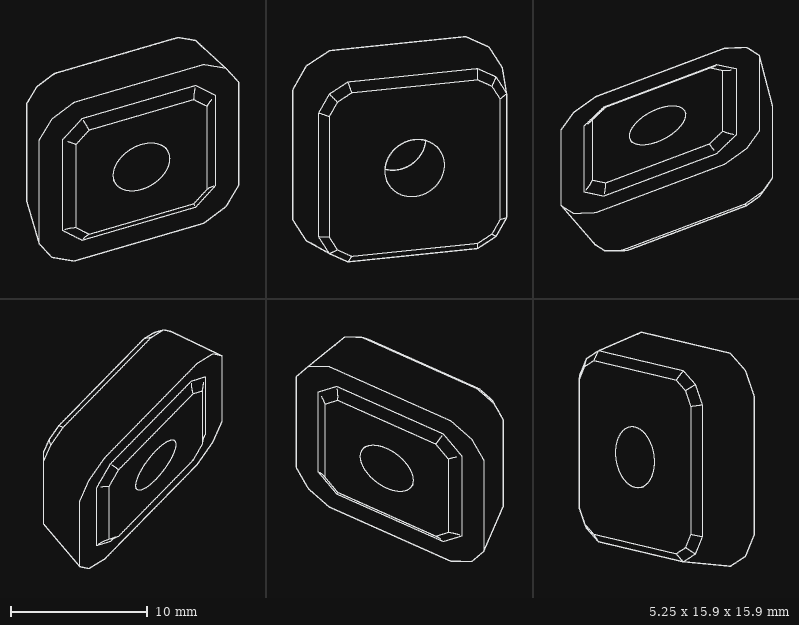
import cadquery as cq
import math

total_thickness = 5.25
rake_x = 4.78
chamfer_x = 0.55

cutting_half = 7.94
waist_half = 7.11
back_half = 6.46

cutting_flat = 5.15
waist_flat = 4.9
back_flat = 4.76
facet_angle = 30.0
edge_radius = 0.32

hole_diameter = 4.5

platform_foot_half = 6.08
platform_top_half = 5.21
platform_flat = 4.51
platform_flank_radius = 2.38
platform_sides = 8


def corner_point(half, flat):
    """Coordinate of the corner vertex on the diagonal of the square."""
    slope = math.tan(math.radians(facet_angle))
    return (half + slope * flat) / (1 + slope)


def four_quarters(quarter):
    """Repeat (Y, Z) points at every quarter turn about the X axis."""
    points = []
    for _ in range(4):
        points += quarter
        quarter = [(-z, y) for y, z in quarter]
    return points


def insert_outline(half, flat):
    """Square with two facets at each corner, as (Y, Z) points."""
    corner = corner_point(half, flat)
    return four_quarters([(half, flat), (corner, corner), (flat, half)])


def extrapolate(start, end, x_start, x_end, x):
    """Value at x on the straight line from (x_start, start) to (x_end, end)."""
    return start + (end - start) * (x - x_start) / (x_end - x_start)


def loft_outlines(x_start, start, x_end, end):
    """Ruled solid between two (half, flat) insert outlines."""
    return (
        cq.Workplane("YZ", origin=(x_start, 0, 0))
        .polyline(insert_outline(*start)).close()
        .workplane(offset=x_end - x_start)
        .polyline(insert_outline(*end)).close()
        .loft(ruled=True, combine=True)
    )


def tapered_body():
    """Relieved flanks with rounded edges, cut back by a sharp chamfer."""
    back = (
        extrapolate(waist_half, cutting_half, chamfer_x, rake_x, 0),
        extrapolate(waist_flat, cutting_flat, chamfer_x, rake_x, 0),
    )
    flanks = loft_outlines(0, back, rake_x, (cutting_half, cutting_flat))
    flanks = flanks.edges("not(#X)").fillet(edge_radius)

    chamfer_end = (
        extrapolate(back_half, waist_half, 0, chamfer_x, rake_x),
        extrapolate(back_flat, waist_flat, 0, chamfer_x, rake_x),
    )
    chamfer = loft_outlines(0, (back_half, back_flat), rake_x, chamfer_end)
    return flanks.intersect(chamfer)


def platform():
    """Eight-sided platform whose flanks are hollow arcs."""
    points = four_quarters([(platform_foot_half, platform_flat), (platform_flat, platform_foot_half)])
    solid = (
        cq.Workplane("YZ", origin=(chamfer_x, 0, 0))
        .polyline(points).close()
        .extrude(total_thickness - chamfer_x)
    )

    diagonal_half = (platform_foot_half + platform_flat) / math.sqrt(2)
    inset = platform_foot_half - platform_top_half
    for side in range(platform_sides):
        foot = platform_foot_half if side % 2 == 0 else diagonal_half
        cutter = (
            cq.Workplane("XZ")
            .moveTo(rake_x, foot)
            .radiusArc((total_thickness, foot - inset), -platform_flank_radius)
            .lineTo(total_thickness, foot)
            .close()
            .extrude(cutting_half, both=True)
            .rotate((0, 0, 0), (1, 0, 0), side * 360 / platform_sides)
        )
        solid = solid.cut(cutter)
    return solid


hole = cq.Workplane("YZ").circle(hole_diameter / 2).extrude(total_thickness)
result = tapered_body().union(platform()).cut(hole)